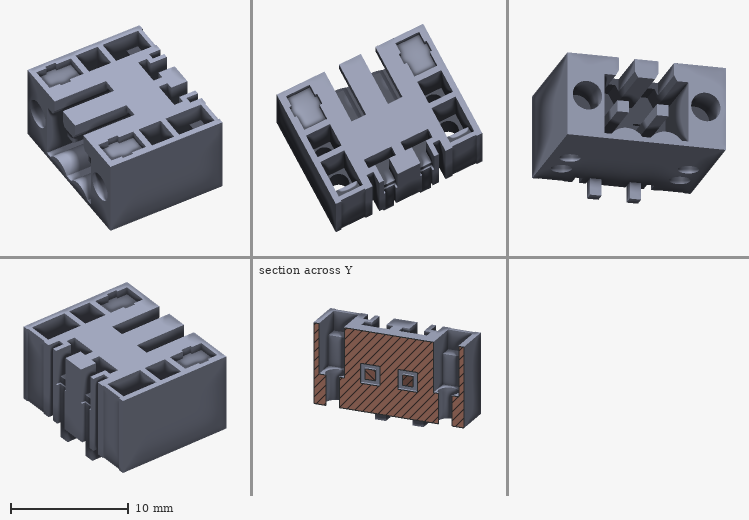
import cadquery as cq


WIDTH = 14.0
DEPTH = 11.05
HEIGHT = 7.45

POLES = (-1, 1)
PIN_X = 1.75
PIN_SIZE = 1.01
PIN_TIP_Y = 1.18
PIN_Z = 3.5
PIN_TAIL = 1.5
PIN_BACK_GAP = 0.34
PIN_BACK_Y = DEPTH - PIN_BACK_GAP
PIN_TOP = PIN_Z + PIN_SIZE / 2

CAVITY_WIDTH = 7.42
CAVITY_DEPTH = 7.28
CAVITY_FLOOR = 0.43
CAVITY_ROOF = 5.81
KEY_X = 1.74
KEY_TOP = 6.87
KEY_BASE_HALF = 0.98
KEY_TOP_HALF = 0.38
RIDGE_HALF = 1.37
RIDGE_TOP = 1.12
TOP_SLOT_WIDTH = 1.39
TOP_SLOT_LENGTH = 5.05
PIN_RECESS_SIZE = 1.78
PIN_RECESS_DEPTH = 0.42

FLANGE_X = 5.24
SCREW_DIAMETER = 2.59
SCREW_DEPTH = 3.5
LOCATING_DIAMETER = 1.8
FRONT_LOCATING_Y = 5.47
REAR_LOCATING_Y = 8.16
POCKET_X = 5.32
POCKET_WIDTH = 2.3
POCKET_DEPTH = 4.62
FRONT_POCKET_Y = (4.42, 6.6)
REAR_POCKET_Y = (7.08, 10.57)
SHELF_Y = 9.45
SHELF_BELOW_TOP = 1.8
NUT_POCKET_DEPTH = 0.71
NUT_POCKET_Y = (0.49, 1.48, 2.49, 3.89)
NUT_POCKET_OUTER_X = 6.35
NUT_POCKET_EAR_X = (3.9, 6.57)
NUT_POCKET_FRONT_INNER_X = 4.1
NUT_POCKET_REAR_INNER_X = 4.17

REAR_RELIEF_DEPTH = 0.1
REAR_SLOT_X = (2.84, 3.49)
REAR_SLOT_DEPTH = 1.12
T_NECK_WIDTH = 1.33
T_BAR_WIDTH = 2.62
T_BAR_Y = (8.6, 9.45)
T_FLOOR = 4.65
PIN_SEAT_DEPTH = 0.48


def box(x_range, y_range, z_range):
    """Axis-aligned block between the given limits."""
    size = [high - low for low, high in (x_range, y_range, z_range)]
    corner = (x_range[0], y_range[0], z_range[0])
    return cq.Workplane("XY").box(*size, centered=False).translate(corner)


def around(centre, size):
    """Limits of a span of the given size about its centre."""
    return (centre - size / 2, centre + size / 2)


def make_pin(x):
    """L-shaped square pin: a horizontal contact leg and a vertical tail."""
    leg_bottom = PIN_TOP - PIN_SIZE
    tail_front = PIN_BACK_Y - PIN_SIZE
    outline = [
        (PIN_TIP_Y, leg_bottom),
        (PIN_TIP_Y, PIN_TOP),
        (PIN_BACK_Y, PIN_TOP),
        (PIN_BACK_Y, -PIN_TAIL),
        (tail_front, -PIN_TAIL),
        (tail_front, leg_bottom),
    ]
    left_side = cq.Workplane("YZ", origin=(x - PIN_SIZE / 2, 0, 0))
    return left_side.polyline(outline).close().extrude(PIN_SIZE)


def make_cavity():
    """Mating cavity with a keyway in the roof and a ridge on the floor at each pole."""
    half = CAVITY_WIDTH / 2
    profile = cq.Workplane("XZ").moveTo(-half, CAVITY_FLOOR)
    for pole in POLES:
        x = pole * KEY_X
        profile = profile.lineTo(x - RIDGE_HALF, CAVITY_FLOOR)
        profile = profile.threePointArc((x, RIDGE_TOP), (x + RIDGE_HALF, CAVITY_FLOOR))
    profile = profile.lineTo(half, CAVITY_FLOOR)
    profile = profile.lineTo(half, CAVITY_ROOF)
    for pole in reversed(POLES):
        x = pole * KEY_X
        profile = profile.lineTo(x + KEY_BASE_HALF, CAVITY_ROOF)
        profile = profile.lineTo(x + KEY_TOP_HALF, KEY_TOP)
        profile = profile.lineTo(x - KEY_TOP_HALF, KEY_TOP)
        profile = profile.lineTo(x - KEY_BASE_HALF, CAVITY_ROOF)
    profile = profile.lineTo(-half, CAVITY_ROOF)
    return profile.close().extrude(-CAVITY_DEPTH)


def cut_pole(housing, pole):
    """Cut the top slot, the pin recess, the rear T slot and the pin passage of one pole."""
    x = pole * PIN_X
    slot_span = around(pole * KEY_X, TOP_SLOT_WIDTH)
    housing = housing.cut(box(slot_span, (0, TOP_SLOT_LENGTH), (CAVITY_ROOF, HEIGHT)))

    recess_y = (CAVITY_DEPTH, CAVITY_DEPTH + PIN_RECESS_DEPTH)
    recess = box(around(x, PIN_RECESS_SIZE), recess_y, around(PIN_Z, PIN_RECESS_SIZE))
    housing = housing.cut(recess)

    neck_span = around(x, T_NECK_WIDTH)
    bar_rear = T_BAR_Y[1]
    seat_y = (DEPTH - PIN_SEAT_DEPTH, DEPTH)
    housing = housing.cut(box(around(x, T_BAR_WIDTH), T_BAR_Y, (T_FLOOR, HEIGHT)))
    housing = housing.cut(box(neck_span, (bar_rear, DEPTH), (T_FLOOR, HEIGHT)))
    housing = housing.cut(box(neck_span, seat_y, (PIN_TOP, HEIGHT)))

    rear_groove = box(around(x, PIN_SIZE), (PIN_BACK_Y, DEPTH), (0, PIN_TOP))
    return housing.cut(rear_groove).cut(make_pin(x))


def make_nut_pocket():
    """Shallow stepped pocket with an ear on each side, for the right-hand flange."""
    front, ear_front, ear_rear, rear = NUT_POCKET_Y
    ear_inner, ear_outer = NUT_POCKET_EAR_X
    z_range = (HEIGHT - NUT_POCKET_DEPTH, HEIGHT)
    front_part = box((NUT_POCKET_FRONT_INNER_X, NUT_POCKET_OUTER_X), (front, ear_front), z_range)
    ears = box((ear_inner, ear_outer), (ear_front, ear_rear), z_range)
    rear_part = box((NUT_POCKET_REAR_INNER_X, NUT_POCKET_OUTER_X), (ear_rear, rear), z_range)
    return front_part.union(ears).union(rear_part)


def make_flange_cuts():
    """Everything removed from the right-hand flange and the rear face beside it."""
    pocket_span = around(POCKET_X, POCKET_WIDTH)
    pocket_z = (HEIGHT - POCKET_DEPTH, HEIGHT)
    shelf_z = (HEIGHT - SHELF_BELOW_TOP, HEIGHT)
    rear_pocket_front, rear_pocket_back = REAR_POCKET_Y
    locating_holes = (
        cq.Workplane("XY")
        .pushPoints([(FLANGE_X, FRONT_LOCATING_Y), (FLANGE_X, REAR_LOCATING_Y)])
        .circle(LOCATING_DIAMETER / 2)
        .extrude(HEIGHT)
    )
    screw_hole = (
        cq.Workplane("XZ", origin=(FLANGE_X, 0, HEIGHT / 2))
        .circle(SCREW_DIAMETER / 2)
        .extrude(-SCREW_DEPTH)
    )
    return [
        locating_holes,
        screw_hole,
        make_nut_pocket(),
        box(pocket_span, FRONT_POCKET_Y, pocket_z),
        box(pocket_span, (rear_pocket_front, SHELF_Y), pocket_z),
        box(pocket_span, (SHELF_Y, rear_pocket_back), shelf_z),
        box(pocket_span, (DEPTH - REAR_RELIEF_DEPTH, DEPTH), (0, HEIGHT)),
        box(REAR_SLOT_X, (DEPTH - REAR_SLOT_DEPTH, DEPTH), (0, HEIGHT)),
    ]


def make_housing():
    """Housing block with the cavity, pole and flange cuts made in it."""
    housing = box(around(0, WIDTH), (0, DEPTH), (0, HEIGHT))
    housing = housing.cut(make_cavity())
    for pole in POLES:
        housing = cut_pole(housing, pole)
    for cut in make_flange_cuts():
        housing = housing.cut(cut).cut(cut.mirror("YZ"))
    return housing.solids()


housing = make_housing()
pins = [make_pin(pole * PIN_X) for pole in POLES]

result = cq.Compound.makeCompound([housing.val(), *[pin.val() for pin in pins]])